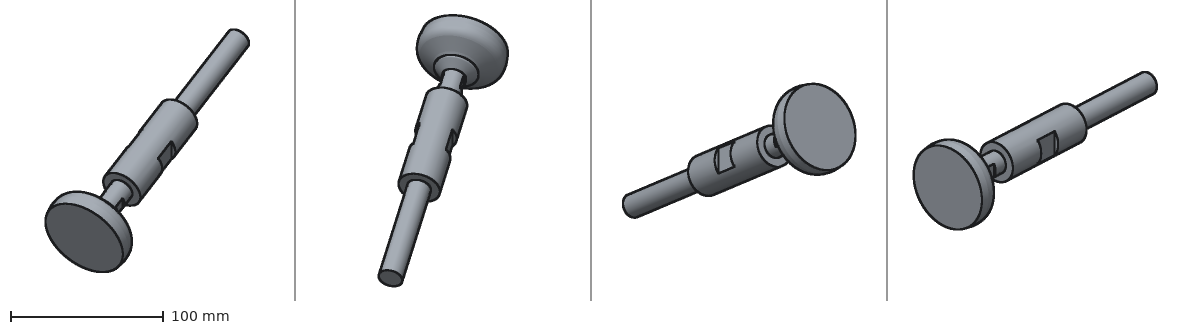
import cadquery as cq
import math

TOTAL_LENGTH = 203.0
REAR_END = TOTAL_LENGTH / 2
PAD_FACE = -TOTAL_LENGTH / 2

ROD_DIAMETER = 16.0
ROD_RADIUS = ROD_DIAMETER / 2
ROD_FLAT_WIDTH = 13.0
ROD_FLAT_START = 30.0
ROD_FLAT_LENGTH = 9.1

SLEEVE_RADIUS = 14.0
SLEEVE_START = 49.5
SLEEVE_LENGTH = 75.0
SLEEVE_FLAT_WIDTH = 22.0
SLEEVE_FLAT_LENGTH = 17.3

FACE_RADIUS = 29.2
RIM_RADIUS = 30.0
RIM_HEIGHT = 6.0
SHOULDER_RADIUS = 29.8
SHOULDER_HEIGHT = 9.0
SHOULDER_ROUNDING = 7.5
SHOULDER_ARC_ANGLE = math.radians(58)
CONE_TOP_RADIUS = 16.2
CONE_TOP_HEIGHT = 20.3
GROOVE_RADIUS = 14.5
GROOVE_HEIGHT = 21.5
COLLAR_RADIUS = 15.0
COLLAR_EDGE_RADIUS = 14.5
COLLAR_TOP_HEIGHT = 24.0
NECK_HEIGHT = 28.2


def shoulder_point(angle):
    """Point on the shoulder arc, with the angle measured from the radial direction."""
    center_radius = SHOULDER_RADIUS - SHOULDER_ROUNDING
    return (
        center_radius + SHOULDER_ROUNDING * math.cos(angle),
        PAD_FACE + SHOULDER_HEIGHT + SHOULDER_ROUNDING * math.sin(angle),
    )


def cut_wrench_flats(body, across_flats, outer_radius, start, length):
    """Cut two parallel flats, facing -X and +X, into a round body."""
    depth = outer_radius - across_flats / 2
    center_y = PAD_FACE + start + length / 2
    for side in (-1, 1):
        center_x = side * (across_flats + depth) / 2
        cutter = cq.Workplane("XY").box(depth, length, 2 * outer_radius)
        body = body.cut(cutter.translate((center_x, center_y, 0)))
    return body


def make_foot():
    """Pad, collar and full-length rod, turned as one piece."""
    collar_middle = (GROOVE_HEIGHT + COLLAR_TOP_HEIGHT) / 2
    profile = (
        cq.Workplane("XY")
        .moveTo(0, PAD_FACE)
        .lineTo(FACE_RADIUS, PAD_FACE)
        .lineTo(RIM_RADIUS, PAD_FACE + RIM_HEIGHT)
        .lineTo(SHOULDER_RADIUS, PAD_FACE + SHOULDER_HEIGHT)
        .threePointArc(shoulder_point(SHOULDER_ARC_ANGLE / 2), shoulder_point(SHOULDER_ARC_ANGLE))
        .lineTo(CONE_TOP_RADIUS, PAD_FACE + CONE_TOP_HEIGHT)
        .lineTo(GROOVE_RADIUS, PAD_FACE + GROOVE_HEIGHT)
        .threePointArc(
            (COLLAR_RADIUS, PAD_FACE + collar_middle),
            (COLLAR_EDGE_RADIUS, PAD_FACE + COLLAR_TOP_HEIGHT),
        )
        .lineTo(ROD_RADIUS, PAD_FACE + NECK_HEIGHT)
        .lineTo(ROD_RADIUS, REAR_END)
        .lineTo(0, REAR_END)
        .close()
    )
    foot = profile.revolve(360, (0, 0, 0), (0, 1, 0))
    return cut_wrench_flats(foot, ROD_FLAT_WIDTH, ROD_RADIUS, ROD_FLAT_START, ROD_FLAT_LENGTH)


def make_sleeve():
    """Round sleeve that fits around the rod, with wrench flats at mid-length."""
    sleeve_start_y = PAD_FACE + SLEEVE_START
    sleeve = (
        cq.Workplane("XZ", origin=(0, sleeve_start_y, 0))
        .circle(SLEEVE_RADIUS)
        .circle(ROD_RADIUS)
        .extrude(-SLEEVE_LENGTH)
    )
    flat_start = SLEEVE_START + (SLEEVE_LENGTH - SLEEVE_FLAT_LENGTH) / 2
    return cut_wrench_flats(sleeve, SLEEVE_FLAT_WIDTH, SLEEVE_RADIUS, flat_start, SLEEVE_FLAT_LENGTH)


foot = make_foot()
sleeve = make_sleeve()

result = cq.Compound.makeCompound([foot.val(), sleeve.val()])